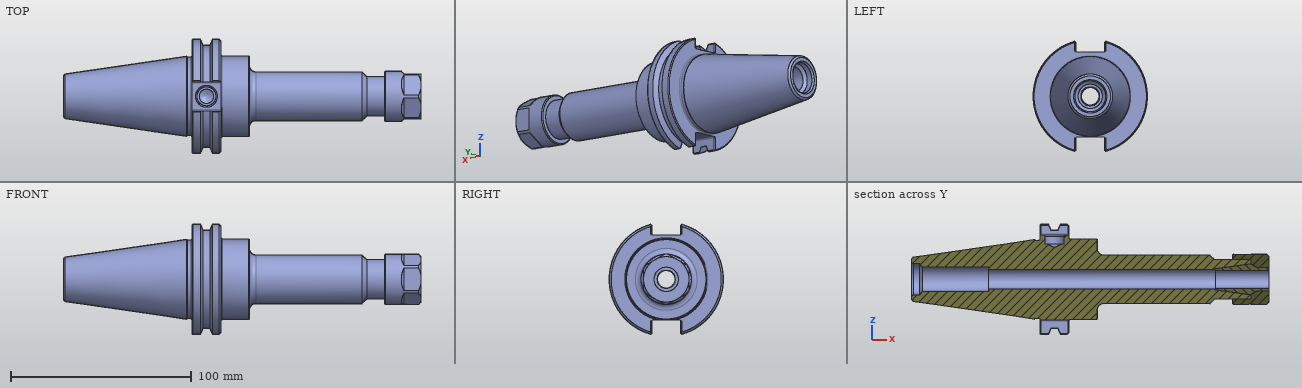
import cadquery as cq
import math


ARC_MIDDLE = 1 - math.sqrt(0.5)

TAPER_LENGTH = 68.2
TAPER_SLOPE = 7 / 24 / 2
GAUGE_RADIUS = 22.2
TAPER_END_RADIUS = GAUGE_RADIUS - TAPER_LENGTH * TAPER_SLOPE
TAPER_END_CHAMFER = 1.0
RELIEF_STEP = 0.4
RELIEF_RUN = 0.5
RELIEF_RADIUS = GAUGE_RADIUS - RELIEF_STEP

FLANGE_START = 71.2
FLANGE_END = 87.5
FLANGE_RADIUS = 31.7
FLANGE_REAR_CHAMFER = 0.5
FLANGE_FRONT_CHAMFER = 1.2
FLANGE_ROOT_FILLET = 0.5
GROOVE_CENTER = (FLANGE_START + FLANGE_END) / 2
GROOVE_FLOOR_WIDTH = 3.8
GROOVE_FLOOR_RADIUS = 28.4
GROOVE_MOUTH_WIDTH = 6.7

SLOT_WIDTH = 16.0
SLOT_FLOOR_FILLET = 0.5
SLOT_EDGE_CHAMFER = 0.5
TOP_SLOT_FLOOR = 24.5
BOTTOM_SLOT_FLOOR = 22.6

CHIP_HOLE_MOUTH_DIAMETER = 12.0
CHIP_HOLE_DIAMETER = 10.5
CHIP_HOLE_TIP_DIAMETER = 8.0
CHIP_HOLE_DEPTH = 5.0
DRILL_TIP_HALF_ANGLE = 65

COLLAR_RADIUS = 22.5
COLLAR_END = 103.1
COLLAR_CHAMFER = 0.4
SPINDLE_RADIUS = 27.2 / 2
SPINDLE_FILLET = 3.5
SPINDLE_CONE_START = 165.4
NECK_RADIUS = 22.0 / 2
SPINDLE_CONE_END = 168.2
HOLDER_END = 188.4

MOUTH_RADIUS = 18.5 / 2
MOUTH_CHAMFER_DEPTH = 1.2
COUNTERBORE_RADIUS = 8.5
COUNTERBORE_END = 4.5
DRAWBAR_THREAD_RADIUS = 6.7
DRAWBAR_THREAD_START = 6.1
DRAWBAR_THREAD_END = 42.8
COOLANT_BORE_RADIUS = 10.5 / 2

COLLET_BORE_RADIUS = 9.7 / 2
COLLET_MAX_RADIUS = 8.5
COLLET_TAPER_ANGLE = 8
COLLET_TAPER_LENGTH = 19.8
COLLET_START = HOLDER_END - COLLET_TAPER_LENGTH
COLLET_REAR_RADIUS = COLLET_MAX_RADIUS - COLLET_TAPER_LENGTH * math.tan(math.radians(COLLET_TAPER_ANGLE))
COLLET_NOSE_RADIUS = 6.7
COLLET_NOSE_ANGLE = 30
COLLET_NOSE_START = HOLDER_END + (COLLET_MAX_RADIUS - COLLET_NOSE_RADIUS) / math.tan(
    math.radians(COLLET_NOSE_ANGLE)
)

NUT_START = 177.9
NUT_END = 198.3
NUT_RADIUS = 28.0 / 2
NUT_REAR_CHAMFER = 0.5
NUT_FRONT_CHAMFER = 1.4
HEX_START = 188.8
HEX_ACROSS_FLATS = 25.0
HEX_SIDES = 6


def turned(profile_points):
    """Closed (x, radius) profile revolved about the X axis."""
    return cq.Workplane("XY").polyline(profile_points).close().revolve(360, (0, 0, 0), (1, 0, 0))


def holder_blank():
    groove_half_floor = GROOVE_FLOOR_WIDTH / 2
    groove_half_mouth = GROOVE_MOUTH_WIDTH / 2
    chamfered_end_radius = TAPER_END_RADIUS + TAPER_END_CHAMFER * TAPER_SLOPE
    root_arc_offset = FLANGE_ROOT_FILLET * ARC_MIDDLE
    spindle_arc_offset = SPINDLE_FILLET * ARC_MIDDLE
    profile = (
        cq.Workplane("XY")
        .moveTo(0, 0)
        .lineTo(0, TAPER_END_RADIUS - TAPER_END_CHAMFER)
        .lineTo(TAPER_END_CHAMFER, chamfered_end_radius)
        .lineTo(TAPER_LENGTH, GAUGE_RADIUS)
        .lineTo(TAPER_LENGTH + RELIEF_RUN, RELIEF_RADIUS)
        .lineTo(FLANGE_START - FLANGE_ROOT_FILLET, RELIEF_RADIUS)
        .threePointArc(
            (FLANGE_START - root_arc_offset, RELIEF_RADIUS + root_arc_offset),
            (FLANGE_START, RELIEF_RADIUS + FLANGE_ROOT_FILLET),
        )
        .lineTo(FLANGE_START, FLANGE_RADIUS - FLANGE_REAR_CHAMFER)
        .lineTo(FLANGE_START + FLANGE_REAR_CHAMFER, FLANGE_RADIUS)
        .lineTo(GROOVE_CENTER - groove_half_mouth, FLANGE_RADIUS)
        .lineTo(GROOVE_CENTER - groove_half_floor, GROOVE_FLOOR_RADIUS)
        .lineTo(GROOVE_CENTER + groove_half_floor, GROOVE_FLOOR_RADIUS)
        .lineTo(GROOVE_CENTER + groove_half_mouth, FLANGE_RADIUS)
        .lineTo(FLANGE_END - FLANGE_FRONT_CHAMFER, FLANGE_RADIUS)
        .lineTo(FLANGE_END, FLANGE_RADIUS - FLANGE_FRONT_CHAMFER)
        .lineTo(FLANGE_END, COLLAR_RADIUS + FLANGE_ROOT_FILLET)
        .threePointArc(
            (FLANGE_END + root_arc_offset, COLLAR_RADIUS + root_arc_offset),
            (FLANGE_END + FLANGE_ROOT_FILLET, COLLAR_RADIUS),
        )
        .lineTo(COLLAR_END - COLLAR_CHAMFER, COLLAR_RADIUS)
        .lineTo(COLLAR_END, COLLAR_RADIUS - COLLAR_CHAMFER)
        .lineTo(COLLAR_END, SPINDLE_RADIUS + SPINDLE_FILLET)
        .threePointArc(
            (COLLAR_END + spindle_arc_offset, SPINDLE_RADIUS + spindle_arc_offset),
            (COLLAR_END + SPINDLE_FILLET, SPINDLE_RADIUS),
        )
        .lineTo(SPINDLE_CONE_START, SPINDLE_RADIUS)
        .lineTo(SPINDLE_CONE_END, NECK_RADIUS)
        .lineTo(HOLDER_END, NECK_RADIUS)
        .lineTo(HOLDER_END, 0)
        .close()
    )
    return profile.revolve(360, (0, 0, 0), (1, 0, 0))


def holder_bore():
    return turned([
        (0, 0),
        (0, MOUTH_RADIUS),
        (MOUTH_CHAMFER_DEPTH, COUNTERBORE_RADIUS),
        (COUNTERBORE_END, COUNTERBORE_RADIUS),
        (DRAWBAR_THREAD_START, DRAWBAR_THREAD_RADIUS),
        (DRAWBAR_THREAD_END, DRAWBAR_THREAD_RADIUS),
        (DRAWBAR_THREAD_END, COOLANT_BORE_RADIUS),
        (COLLET_START, COOLANT_BORE_RADIUS),
        (COLLET_START, COLLET_REAR_RADIUS),
        (HOLDER_END, COLLET_MAX_RADIUS),
        (HOLDER_END, 0),
    ])


def driving_slot(floor_height):
    """Slot cutter above the axis: filleted floor corners and chamfered wall edges."""
    half_width = SLOT_WIDTH / 2
    chamfered_half_width = half_width + SLOT_EDGE_CHAMFER
    edge_height = math.sqrt(FLANGE_RADIUS**2 - chamfered_half_width**2)
    top_height = FLANGE_RADIUS
    fillet_top = floor_height + SLOT_FLOOR_FILLET
    cut_start = FLANGE_START - FLANGE_ROOT_FILLET
    cut_end = FLANGE_END + FLANGE_ROOT_FILLET

    channel = (
        cq.Workplane("YZ", origin=(cut_start, 0, 0))
        .rect(SLOT_WIDTH, 2 * (top_height - floor_height))
        .extrude(cut_end - cut_start)
        .translate((0, 0, top_height))
        .faces("<Z").edges("|X")
        .fillet(SLOT_FLOOR_FILLET)
    )
    rim_chamfer = (
        cq.Workplane("YZ", origin=(cut_start, 0, 0))
        .polyline([
            (-half_width, edge_height - SLOT_EDGE_CHAMFER),
            (half_width, edge_height - SLOT_EDGE_CHAMFER),
            (chamfered_half_width, edge_height),
            (chamfered_half_width, top_height),
            (-chamfered_half_width, top_height),
            (-chamfered_half_width, edge_height),
        ])
        .close()
        .extrude(cut_end - cut_start)
    )
    cutter = channel.union(rim_chamfer)
    for face, inward in ((FLANGE_START, 1), (FLANGE_END, -1)):
        face_chamfer = (
            cq.Workplane("XY", origin=(0, 0, fillet_top))
            .polyline([
                (face, -chamfered_half_width),
                (face, chamfered_half_width),
                (face + inward * SLOT_EDGE_CHAMFER, half_width),
                (face + inward * SLOT_EDGE_CHAMFER, -half_width),
            ])
            .close()
            .extrude(top_height - fillet_top)
        )
        cutter = cutter.union(face_chamfer)
    return cutter


def chip_hole():
    mouth_radius = CHIP_HOLE_MOUTH_DIAMETER / 2
    hole_radius = CHIP_HOLE_DIAMETER / 2
    tip_radius = CHIP_HOLE_TIP_DIAMETER / 2
    bottom = TOP_SLOT_FLOOR - CHIP_HOLE_DEPTH
    tip = bottom - tip_radius / math.tan(math.radians(DRILL_TIP_HALF_ANGLE))
    profile = [
        (0, TOP_SLOT_FLOOR),
        (mouth_radius, TOP_SLOT_FLOOR),
        (hole_radius, TOP_SLOT_FLOOR - (mouth_radius - hole_radius)),
        (hole_radius, bottom),
        (tip_radius, bottom),
        (0, tip),
    ]
    cutter = cq.Workplane("XZ").polyline(profile).close().revolve(360, (0, 0, 0), (0, 1, 0))
    return cutter.translate((GROOVE_CENTER, 0, 0))


def make_holder():
    return (
        holder_blank()
        .cut(holder_bore())
        .cut(driving_slot(TOP_SLOT_FLOOR))
        .cut(driving_slot(BOTTOM_SLOT_FLOOR).mirror("XY"))
        .cut(chip_hole())
    )


def make_collet():
    return turned([
        (COLLET_START, COLLET_BORE_RADIUS),
        (COLLET_START, COLLET_REAR_RADIUS),
        (HOLDER_END, COLLET_MAX_RADIUS),
        (COLLET_NOSE_START, COLLET_NOSE_RADIUS),
        (NUT_END, COLLET_NOSE_RADIUS),
        (NUT_END, COLLET_BORE_RADIUS),
    ])


def wrench_flat(angle):
    """Cutter for one flat of the hexagon, with a 45 degree runout at its rear end."""
    flat_distance = HEX_ACROSS_FLATS / 2
    depth = NUT_RADIUS - flat_distance
    cutter = (
        cq.Workplane("XY")
        .polyline([
            (HEX_START, flat_distance),
            (NUT_END, flat_distance),
            (NUT_END, NUT_RADIUS),
            (HEX_START - depth, NUT_RADIUS),
        ])
        .close()
        .extrude(NUT_RADIUS, both=True)
    )
    return cutter.rotate((0, 0, 0), (1, 0, 0), angle)


def make_nut():
    nut = turned([
        (NUT_START, NECK_RADIUS),
        (NUT_START, NUT_RADIUS - NUT_REAR_CHAMFER),
        (NUT_START + NUT_REAR_CHAMFER, NUT_RADIUS),
        (NUT_END - NUT_FRONT_CHAMFER, NUT_RADIUS),
        (NUT_END, NUT_RADIUS - NUT_FRONT_CHAMFER),
        (NUT_END, COLLET_NOSE_RADIUS),
        (COLLET_NOSE_START, COLLET_NOSE_RADIUS),
        (HOLDER_END, COLLET_MAX_RADIUS),
        (HOLDER_END, NECK_RADIUS),
    ])
    for side in range(HEX_SIDES):
        nut = nut.cut(wrench_flat(side * 360 / HEX_SIDES))
    return nut


holder = make_holder()
collet = make_collet()
nut = make_nut()

result = cq.Compound.makeCompound([holder.val(), collet.val(), nut.val()])